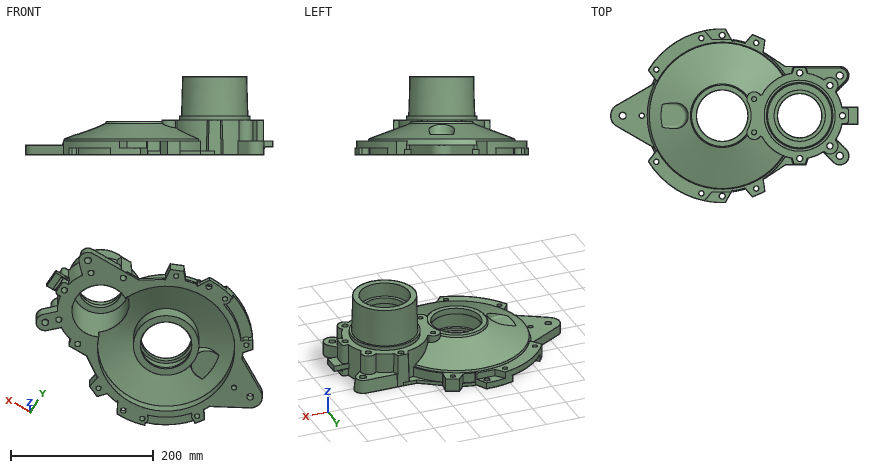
import cadquery as cq
import math


OVERCUT = 1.0
SIDES = (1, -1)

skirt_radius = 105.2
cone_base_radius = 102.2
cone_base_z = 22.7
rim_base_radius = 44.6
rim_base_z = 44.0
rim_radius = 43.0
rim_top_z = 47.0
wall = 6.0
hub_bore_radius = 71.9 / 2
hub_groove_radius = 79.8 / 2
hub_groove_bottom_z = 15.5
hub_groove_top_z = 38.0
hub_bottom_z = 11.0
hub_radius = hub_groove_radius + wall

flange_radius = 243.89 / 2
flange_top_z = 19.6
bolt_circle_radius = 112.7
flange_bolt_angles = (65, 105, 145)
flange_hole_diameter = 7.0
dowel_hole_diameter = 8.0
pad_top_z = 9.6
notch_top_z = 10.0
notch_angles = (108, 141.5)
flange_boss_radius = 8.0
shoulder_radius = 105.6
shoulder_angles = (25, 145)
rim_band_radius = 106.4
rim_band_angles = (66, 82)
foot_radius = 107.9
web_top_z = 5.2
foot_left_z = 7.5

lug_top_z = 13.7
lug_tip_radius = 17.0
lug_tip_x = -156.55 + lug_tip_radius
lug_half_angle = math.radians(30)
lug_hole_diameter = 9.3

pinion_x = 108.7
cover_bolt_radius = 60.0
block_radius = 60.6
block_top_z = 49.0
collar_radius = 99.6 / 2
collar_top_z = 54.4
tube_base_radius = 46.6
tube_top_radius = 45.0
total_height = 110.0
tube_bore_radius = 71.9 / 2
tube_bore_bottom_z = 89.0
ledge_bore_radius = 61.85 / 2
ledge_bottom_z = 80.0
pinion_bearing_radius = 79.95 / 2
cover_hole_diameter = 8.3
cover_bolt_angles = (-90, -45, 0, 45, 90)
corner_boss_radius = 11.2
side_boss_draft = 1.5
side_boss_tip_half_width = 9.0
side_boss_root_half_width = 12.3
side_boss_root_y = 58.5
end_boss_half_width = 10.8
end_boss_x = 177.4
end_boss_corner = 4.0

inner_boss_x = 44.8
inner_boss_y = 23.3
inner_boss_radius = 10.2
inner_hole_diameter = 6.8
inner_hole_depth = 12.0
tongue_bore_radius = 40.6
tongue_end_x = inner_boss_x - 8.0
neck_x = pinion_x - 36.0
neck_y = 47.5
throat_x = 56.5
throat_y = 29.5

ear_offset = 79.6 / math.sqrt(2)
ear_x = pinion_x + ear_offset
ear_radius = 12.8
ear_draft = 2.2
side_face_y = ear_offset + ear_radius
ear_hole_diameter = 9.5
web_corner_x = 88.7
tab_end_x = 190.35
tab_half_width = 12.0
tab_bottom_z = 11.3
tab_gusset = 3.0

pocket_x = -67.4
pocket_radius = 16.8
pocket_floor_fillet = 3.0
pocket_floor_z = 28.8
pocket_taper = 12.0
pocket_outer_x = -90.0
pocket_backing = 5.0


def polar(radius, degrees):
    angle = math.radians(degrees)
    return (radius * math.cos(angle), radius * math.sin(angle))


def cylinder(x, y, radius, z0, z1):
    return cq.Workplane("XY", origin=(x, y, z0)).circle(radius).extrude(z1 - z0)


def prism(points, z0, z1):
    return cq.Workplane("XY", origin=(0, 0, z0)).polyline(points).close().extrude(z1 - z0)


def box(x0, x1, y0, y1, z0, z1):
    return prism([(x0, y0), (x1, y0), (x1, y1), (x0, y1)], z0, z1)


def revolve(profile):
    return cq.Workplane("XZ").polyline(profile).close().revolve(360, (0, 0, 0), (0, 1, 0))


def sector(radius, start, end, z0, z1):
    """Pie slice centred on the dome axis."""
    outline = cq.Workplane("XY", origin=(0, 0, z0)).lineTo(*polar(radius, start))
    outline = outline.threePointArc(polar(radius, (start + end) / 2), polar(radius, end))
    return outline.close().extrude(z1 - z0)


def mirrored(points, side):
    return [(x, side * y) for x, y in points]


def slot(x0, y0, x1, y1, radius, z0, z1):
    """Round-ended bar between two points."""
    length = math.hypot(x1 - x0, y1 - y0)
    nx = -(y1 - y0) / length * radius
    ny = (x1 - x0) / length * radius
    body = prism([(x0 + nx, y0 + ny), (x1 + nx, y1 + ny), (x1 - nx, y1 - ny), (x0 - nx, y0 - ny)], z0, z1)
    return body.union(cylinder(x0, y0, radius, z0, z1)).union(cylinder(x1, y1, radius, z0, z1))


def dome():
    return revolve([
        (0, 0),
        (skirt_radius, 0),
        (skirt_radius, lug_top_z),
        (cone_base_radius, cone_base_z),
        (rim_base_radius, rim_base_z),
        (rim_radius, rim_top_z),
        (0, rim_top_z),
    ])


def flange(side):
    """Arc flange with a low dowel pad, an underside notch and a separate square ear."""
    outer_end = (-103.7, 63.8)
    inner_end = (-92.0, 48.8)
    pad_outer_x = 4.5
    pad_inner = (14.5, 104.0)
    start = (pad_outer_x, math.sqrt(flange_radius**2 - pad_outer_x**2))
    outline = cq.Workplane("XY").moveTo(0, 0).lineTo(*pad_inner).lineTo(*start)
    outline = outline.threePointArc(polar(flange_radius, 118), outer_end)
    body = outline.lineTo(*inner_end).close().extrude(flange_top_z)

    pad_inner_y = 107.0
    pad_outline = [(-25.5, 120.0), (-14.5, pad_inner_y), (40, pad_inner_y), (40, 130), (-25.5, 130)]
    body = body.cut(prism(pad_outline, pad_top_z, flange_top_z + OVERCUT))

    notch = sector(flange_radius + OVERCUT, *notch_angles, -OVERCUT, notch_top_z)
    notch = notch.cut(cylinder(0, 0, skirt_radius, -OVERCUT, notch_top_z))
    for angle in flange_bolt_angles[1:]:
        boss_x, boss_y = polar(bolt_circle_radius, angle)
        notch = notch.cut(cylinder(boss_x, boss_y, flange_boss_radius, -OVERCUT, notch_top_z))
    body = body.cut(notch)

    ear = [(0, 0), (32.4, 102.3), (42.5, 114.0), (60.1, 106.3), (57.7, 89.4)]
    body = body.union(prism(ear, 0, flange_top_z))
    body = body.union(sector(shoulder_radius, *shoulder_angles, 0, flange_top_z))
    body = body.union(sector(rim_band_radius, *rim_band_angles, 0, flange_top_z))
    body = body.union(sector(foot_radius, *rim_band_angles, 0, web_top_z))
    foot_left_angles = (145, 165)
    body = body.union(sector(foot_radius, *foot_left_angles, 0, foot_left_z))
    return body if side > 0 else body.mirror("XZ")


def pointed_lug():
    tangent_x = lug_tip_x - lug_tip_radius * math.sin(lug_half_angle)
    tangent_y = lug_tip_radius * math.cos(lug_half_angle)
    root_x = -90.0
    root_y = tangent_y + (root_x - tangent_x) * math.tan(lug_half_angle)
    blade = [(tangent_x, tangent_y), (root_x, root_y), (root_x, -root_y), (tangent_x, -tangent_y)]
    return prism(blade, 0, lug_top_z).union(cylinder(lug_tip_x, 0, lug_tip_radius, 0, lug_top_z))


def corner_position(side):
    offset = cover_bolt_radius / math.sqrt(2)
    return (pinion_x + offset, side * offset)


def side_boss(side):
    """Drafted trapezoid carrying a cover bolt, flush with the housing side at its foot."""
    outline = [
        (-side_boss_root_half_width, side_boss_root_y),
        (-side_boss_tip_half_width, side_face_y),
        (side_boss_tip_half_width, side_face_y),
        (side_boss_root_half_width, side_boss_root_y),
        (0, 0),
    ]
    draft_angle = math.degrees(math.atan(side_boss_draft / block_top_z))
    sketch = cq.Workplane("XY", origin=(pinion_x, 0, 0)).polyline(mirrored(outline, side)).close()
    return sketch.extrude(block_top_z, taper=draft_angle)


def pinion_block():
    body = cylinder(pinion_x, 0, block_radius, 0, block_top_z)
    for side in SIDES:
        body = body.union(cylinder(*corner_position(side), corner_boss_radius, 0, block_top_z))
        body = body.union(side_boss(side))
    end_boss = box(pinion_x, end_boss_x, -end_boss_half_width, end_boss_half_width, 0, block_top_z)
    body = body.union(end_boss.edges("|Z and >X").fillet(end_boss_corner))

    neck = [(pinion_x, neck_y), (neck_x, neck_y), (throat_x, throat_y), (tongue_end_x, inner_boss_y)]
    neck_outline = neck + mirrored(reversed(neck), -1)
    tongue = prism(neck_outline, hub_bottom_z, block_top_z)
    for side in SIDES:
        boss = cylinder(inner_boss_x, side * inner_boss_y, inner_boss_radius, hub_bottom_z, block_top_z)
        tongue = tongue.union(boss)
    tongue = tongue.cut(cylinder(0, 0, tongue_bore_radius, 0, total_height))
    return body.union(tongue)


def gusseted_ear():
    """Drafted +Y ear, filled in up to the straight side of the housing."""
    diagonal = ear_radius / math.sqrt(2)
    bend = polar(ear_radius, 22.5)
    corner_x, corner_y = corner_position(1)
    outline = cq.Workplane("XY").moveTo(pinion_x, 0).lineTo(pinion_x, side_face_y).lineTo(ear_x, side_face_y)
    outline = outline.threePointArc((ear_x + bend[0], ear_offset + bend[1]),
                                    (ear_x + diagonal, ear_offset - diagonal))
    outline = outline.lineTo(corner_x + diagonal, corner_y - diagonal).close()
    return outline.extrude(flange_top_z, taper=math.degrees(math.atan(ear_draft / flange_top_z)))


def tab():
    plate = box(pinion_x, tab_end_x, -tab_half_width, tab_half_width, tab_bottom_z, flange_top_z)
    corner = [(end_boss_x, tab_bottom_z), (end_boss_x, tab_bottom_z - tab_gusset),
              (end_boss_x + tab_gusset, tab_bottom_z)]
    gusset = cq.Workplane("XZ").polyline(corner).close().extrude(end_boss_half_width, both=True)
    return plate.union(gusset)


def ears_and_webs():
    corner_x, corner_y = corner_position(-1)
    body = slot(corner_x, corner_y, ear_x, -ear_offset, ear_radius, 0, flange_top_z)
    body = body.union(gusseted_ear())
    web = [(50, 60), (57.7, 89.4), (web_corner_x, side_face_y), (pinion_x, side_face_y), (pinion_x, 40)]
    for side in SIDES:
        body = body.union(prism(mirrored(web, side), 0, web_top_z))
    return body


def pinion_tube():
    collar = cylinder(pinion_x, 0, collar_radius, block_top_z, collar_top_z)
    tube = cq.Workplane("XY", origin=(pinion_x, 0, collar_top_z)).circle(tube_base_radius)
    tube = tube.workplane(offset=total_height - collar_top_z).circle(tube_top_radius).loft()
    return collar.union(tube)


def pocket_shape(radius, floor_z, taper):
    """D-shaped plug, open toward the outside of the dome."""
    outline = cq.Workplane("XY", origin=(0, 0, floor_z)).moveTo(pocket_outer_x, -radius)
    outline = outline.lineTo(pocket_x, -radius)
    outline = outline.threePointArc((pocket_x + radius, 0), (pocket_x, radius))
    outline = outline.lineTo(pocket_outer_x, radius).close()
    return outline.extrude(rim_top_z - floor_z, taper=-taper)


def pocketed_dome():
    plug = pocket_shape(pocket_radius, pocket_floor_z, pocket_taper)
    plug = plug.edges("<Z").edges("not <X").fillet(pocket_floor_fillet)
    return dome().cut(plug)


def dome_cavity():
    """Hollow under the cone, leaving the bearing hub and the pocket walls standing."""
    cavity_radius = cone_base_radius - wall
    cone_slope = (rim_base_z - cone_base_z) / (cone_base_radius - rim_base_radius)
    edge_z = cone_base_z - wall
    cavity = revolve([
        (0, -OVERCUT),
        (cavity_radius, -OVERCUT),
        (cavity_radius, edge_z),
        (hub_radius, edge_z + (cavity_radius - hub_radius) * cone_slope),
        (hub_radius, hub_bottom_z),
        (0, hub_bottom_z),
    ])
    backing = pocket_shape(pocket_radius + pocket_backing, pocket_floor_z - pocket_backing, pocket_taper)
    return cavity.cut(backing)


def bores():
    cut = cylinder(0, 0, hub_bore_radius, -OVERCUT, total_height)
    cut = cut.union(cylinder(0, 0, hub_groove_radius, hub_groove_bottom_z, hub_groove_top_z))
    cut = cut.union(cylinder(pinion_x, 0, ledge_bore_radius, -OVERCUT, total_height + OVERCUT))
    cut = cut.union(cylinder(pinion_x, 0, pinion_bearing_radius, -OVERCUT, ledge_bottom_z))
    return cut.union(cylinder(pinion_x, 0, tube_bore_radius, tube_bore_bottom_z, total_height + OVERCUT))


def drill(body, x, y, diameter, bottom_z=-OVERCUT):
    return body.cut(cylinder(x, y, diameter / 2, bottom_z, block_top_z + OVERCUT))


def drill_all(body):
    body = drill(body, lug_tip_x, 0, lug_hole_diameter)
    body = drill(body, -bolt_circle_radius, 0, flange_hole_diameter)
    for side in SIDES:
        for angle in flange_bolt_angles:
            body = drill(body, *polar(bolt_circle_radius, side * angle), flange_hole_diameter)
        body = drill(body, 0, side * bolt_circle_radius, dowel_hole_diameter)
        body = drill(body, ear_x, side * ear_offset, ear_hole_diameter)
        blind_z = block_top_z - inner_hole_depth
        body = drill(body, inner_boss_x, side * inner_boss_y, inner_hole_diameter, blind_z)
    for angle in cover_bolt_angles:
        x, y = polar(cover_bolt_radius, angle)
        body = drill(body, pinion_x + x, y, cover_hole_diameter)
    return body


housing = pocketed_dome().union(pointed_lug())
for flange_side in SIDES:
    housing = housing.union(flange(flange_side))
housing = housing.union(pinion_block()).union(ears_and_webs()).union(tab()).union(pinion_tube())
housing = housing.cut(dome_cavity()).cut(bores())
result = drill_all(housing)